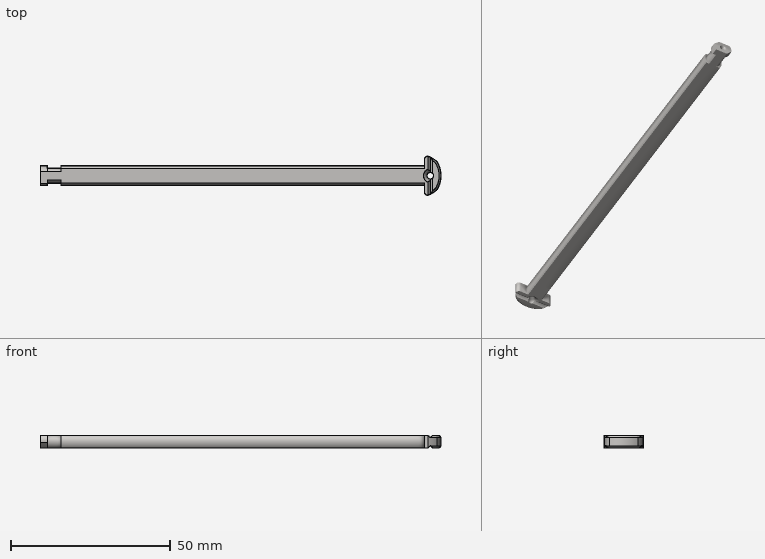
import cadquery as cq
import math

LENGTH = 125.6
THICKNESS = 4.0

SHAFT_RADIUS = 3.1
FLAT_WIDTH = 4.6

COLLAR_LENGTH = 2.1
NECK_END = 6.4
NECK_RADIUS = 2.4
CENTRE_MARK_DIAMETER = 2.0

HEAD_START = 120.3
HEAD_WIDTH = 12.3
HEAD_CORNER_RADIUS = 1.1
SHOULDER_X = 124.4
SHOULDER_Y = 4.4
SHOULDER_ARC_RADIUS = 8.8
RIM_CHAMFER = 0.6

HOLE_X = 122.2
HOLE_DIAMETER = 2.0
RELIEF_RADIUS = 2.1
GROOVE_WIDTH = 1.5
GROOVE_DEPTH = 0.8


def bar(start, end, section):
    """Extrude a YZ section sketch along X between two stations."""
    return section(cq.Workplane("YZ", origin=(start, 0, 0))).extrude(end - start)


def flattened_bar(radius, start, end):
    """Round bar along X, trimmed flat on top and bottom to the part thickness."""
    round_bar = bar(start, end, lambda plane: plane.circle(radius))
    slab = bar(start, end, lambda plane: plane.rect(2 * radius, THICKNESS))
    return round_bar.intersect(slab)


def bevelled_bar(start, end):
    """Flattened bar whose four long edges have 45 degree bevels."""
    bevel_span = (FLAT_WIDTH + THICKNESS) / math.sqrt(2)
    diamond = bar(
        start, end,
        lambda plane: plane.transformed(rotate=(0, 0, 45)).rect(bevel_span, bevel_span),
    )
    return flattened_bar(SHAFT_RADIUS, start, end).intersect(diamond)


def locking_collar():
    """End collar with two opposite 45 degree flats tangent to the neck."""
    flats = bar(
        0, COLLAR_LENGTH,
        lambda plane: plane.transformed(rotate=(0, 0, 45)).rect(2 * NECK_RADIUS, 4 * SHAFT_RADIUS),
    )
    return flattened_bar(SHAFT_RADIUS, 0, COLLAR_LENGTH).intersect(flats)


def head():
    """Mushroom-shaped plate whose domed rim is chamfered beyond the cross grooves."""
    half_width = HEAD_WIDTH / 2
    face_half_width = half_width - HEAD_CORNER_RADIUS
    widest_x = HEAD_START + HEAD_CORNER_RADIUS
    plate = (
        cq.Workplane("XY")
        .moveTo(HEAD_START, face_half_width)
        .lineTo(HEAD_START, -face_half_width)
        .radiusArc((widest_x, -half_width), -HEAD_CORNER_RADIUS)
        .radiusArc((SHOULDER_X, -SHOULDER_Y), -SHOULDER_ARC_RADIUS)
        .threePointArc((LENGTH, 0), (SHOULDER_X, SHOULDER_Y))
        .radiusArc((widest_x, half_width), -SHOULDER_ARC_RADIUS)
        .radiusArc((HEAD_START, face_half_width), -HEAD_CORNER_RADIUS)
        .close()
        .extrude(THICKNESS / 2, both=True)
    )
    shaft_side = cq.Workplane("XY").box(
        HOLE_X - HEAD_START, HEAD_WIDTH, THICKNESS
    ).translate(((HEAD_START + HOLE_X) / 2, 0, 0))
    dome_side = plate.cut(shaft_side).edges("%CIRCLE").chamfer(RIM_CHAMFER)
    return plate.intersect(shaft_side).union(dome_side)


def centre_mark():
    """Conical 90 degree centre mark in the tip end."""
    radius = CENTRE_MARK_DIAMETER / 2
    return cq.Workplane(cq.Solid.makeCone(radius, 0, radius, dir=cq.Vector(1, 0, 0)))


def cross_groove(side):
    """V-groove along Y in the top (side = 1) or bottom (side = -1) of the head."""
    surface = side * THICKNESS / 2
    return (
        cq.Workplane("XZ")
        .moveTo(HOLE_X - GROOVE_WIDTH / 2, surface)
        .lineTo(HOLE_X, surface - side * GROOVE_DEPTH)
        .lineTo(HOLE_X + GROOVE_WIDTH / 2, surface)
        .close()
        .extrude(HEAD_WIDTH, both=True)
    )


def cord_hole():
    """Through hole along Z in the head."""
    return cq.Workplane("XY").center(HOLE_X, 0).circle(HOLE_DIAMETER / 2).extrude(THICKNESS, both=True)


def hole_relief(side):
    """Half countersink that eases the hole edge towards the shaft."""
    hole_radius = HOLE_DIAMETER / 2
    cone = cq.Solid.makeCone(
        RELIEF_RADIUS, hole_radius, RELIEF_RADIUS - hole_radius,
        pnt=cq.Vector(HOLE_X, 0, side * THICKNESS / 2), dir=cq.Vector(0, 0, -side),
    )
    shaft_side = cq.Workplane("XY").box(
        RELIEF_RADIUS, 2 * RELIEF_RADIUS, THICKNESS
    ).translate((HOLE_X - RELIEF_RADIUS / 2, 0, 0))
    return shaft_side.intersect(cq.Workplane(cone))


neck = flattened_bar(NECK_RADIUS, COLLAR_LENGTH, NECK_END)
shaft = bevelled_bar(NECK_END, HEAD_START)
result = locking_collar().union(neck).union(shaft).union(head())

result = result.cut(centre_mark()).cut(cord_hole())
for side in (1, -1):
    result = result.cut(cross_groove(side)).cut(hole_relief(side))